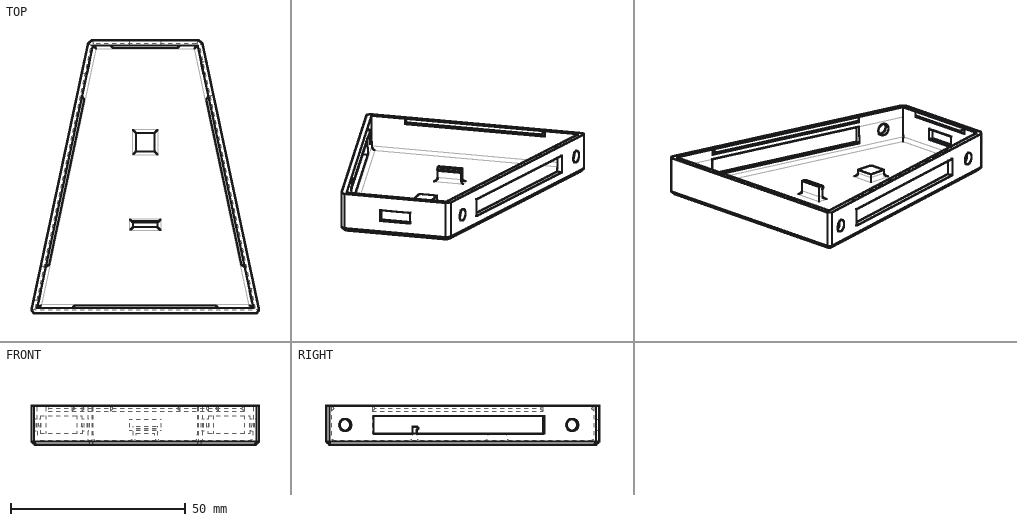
import cadquery as cq
import math

depth = 78.35
height = 11.2
side_angle = 12.0
front_width = 65.73
corner_chamfer = 1.0
base_chamfer = 1.0
wall = 1.5
floor = 1.2
foot_fillet = 1.0
side_draft = 1.0

opening_center_z = 5.7
slot_length = 50.0
slot_height = 5.0
hole_diameter = 3.4
hole_spacing = 66.5
side_opening_shift = 1.1
port_width = 9.0
port_height = 3.2

ridge_depth = 0.8
front_ridge_length = 42.0
back_ridge_length = 20.0
side_ridge_length = 50.0

pad_size = 5.3
pad_height = 2.0
pad_y = 9.9
tab_width = 7.0
tab_thickness = 1.3
tab_height = 4.0
tab_y = -13.8
lip_depth = 0.5

half_depth = depth / 2
lean = math.radians(side_angle)
mid_half_width = front_width / 2 - half_depth * math.tan(lean)
draft_top = opening_center_z + slot_height / 2
draft_run = (draft_top - floor) * math.tan(math.radians(side_draft))
cutter_depth = 4 * wall


def trapezoid_points(end_inset, side_inset):
    """Corners of the tray outline with its ends and sides moved inward."""
    y_end = half_depth - end_inset
    middle = mid_half_width - side_inset / math.cos(lean)
    front = middle + y_end * math.tan(lean)
    back = middle - y_end * math.tan(lean)
    return [(-front, -y_end), (front, -y_end), (back, y_end), (-back, y_end)]


def tray():
    """Chamfered trapezoid hollowed from above, with a fillet around the floor."""
    shell = cq.Workplane("XY").polyline(trapezoid_points(0, 0)).close().extrude(height)
    shell = shell.edges("|Z").chamfer(corner_chamfer)
    shell = shell.faces("<Z").edges().chamfer(base_chamfer)
    lower_cavity = (
        cq.Workplane("XY", origin=(0, 0, floor))
        .polyline(trapezoid_points(wall, wall + draft_run))
        .close()
        .workplane(offset=draft_top - floor)
        .polyline(trapezoid_points(wall, wall))
        .close()
        .loft(ruled=True)
    )
    lower_cavity = lower_cavity.faces("<Z").edges().fillet(foot_fillet)
    upper_cavity = (
        cq.Workplane("XY", origin=(0, 0, draft_top))
        .polyline(trapezoid_points(wall, wall))
        .close()
        .extrude(height - draft_top)
    )
    return shell.cut(lower_cavity).cut(upper_cavity)


def on_side_walls(feature):
    """The feature on the right wall together with its mirror image on the left."""
    right = feature.rotate((0, 0, 0), (0, 0, 1), side_angle - 90)
    right = right.translate((mid_half_width, 0, 0))
    return right.union(right.mirror("YZ"))


def on_back_wall(feature):
    return feature.translate((0, half_depth, 0))


def on_front_wall(feature):
    return feature.rotate((0, 0, 0), (0, 0, 1), 180).translate((0, -half_depth, 0))


def rectangular_opening(width, opening_height):
    opening = cq.Workplane("XY").box(width, cutter_depth, opening_height)
    return opening.translate((0, 0, opening_center_z))


def side_openings():
    """Long slot with a round hole beyond each end."""
    holes = (
        cq.Workplane("XZ", origin=(0, 0, opening_center_z))
        .pushPoints([(-hole_spacing / 2, 0), (hole_spacing / 2, 0)])
        .circle(hole_diameter / 2)
        .extrude(cutter_depth / 2, both=True)
    )
    openings = rectangular_opening(slot_length, slot_height).union(holes)
    return openings.translate((side_opening_shift, 0, 0))


def snap_ridge(length):
    """Triangular ridge below the rim, its ends cut at 45 degrees."""
    root = -wall
    tip = root - ridge_depth
    prism = (
        cq.Workplane("YZ")
        .polyline([(root, height), (tip, height - ridge_depth), (root, height - 2 * ridge_depth)])
        .close()
        .extrude(length / 2, both=True)
    )
    tip_half_length = length / 2 - ridge_depth
    plan = [(-length / 2, root), (length / 2, root), (tip_half_length, tip), (-tip_half_length, tip)]
    return prism.intersect(cq.Workplane("XY").polyline(plan).close().extrude(height))


def footed_block(width, thickness, block_height):
    """Block on the floor with a concave fillet around its foot."""
    slab_margin = 2 * foot_fillet
    slab_size = (width + 2 * slab_margin, thickness + 2 * slab_margin, floor / 2)
    slab = cq.Workplane("XY").box(*slab_size).translate((0, 0, -floor / 4))
    block = cq.Workplane("XY").rect(width, thickness).extrude(block_height)
    reach = foot_fillet / 2
    corner = cq.Vector(width / 2 + reach, thickness / 2 + reach, reach)
    foot_edges = cq.selectors.BoxSelector(-corner, corner)
    return slab.union(block).edges(foot_edges).fillet(foot_fillet).translate((0, 0, floor))


def pad():
    return footed_block(pad_size, pad_size, pad_height).translate((0, pad_y, 0))


def tab():
    """Upright tab with a triangular catch along the top of its back face."""
    back_face = tab_thickness / 2
    top = floor + tab_height
    lip_profile = [
        (back_face, top),
        (back_face + lip_depth, top - lip_depth),
        (back_face, top - 2 * lip_depth),
    ]
    lip = cq.Workplane("YZ").polyline(lip_profile).close().extrude(tab_width / 2, both=True)
    return footed_block(tab_width, tab_thickness, tab_height).union(lip).translate((0, tab_y, 0))


result = tray()
result = result.cut(on_side_walls(side_openings()))
result = result.cut(on_back_wall(rectangular_opening(port_width, port_height)))
result = result.union(on_side_walls(snap_ridge(side_ridge_length).translate((side_opening_shift, 0, 0))))
result = result.union(on_back_wall(snap_ridge(back_ridge_length)))
result = result.union(on_front_wall(snap_ridge(front_ridge_length)))
result = result.union(pad()).union(tab())